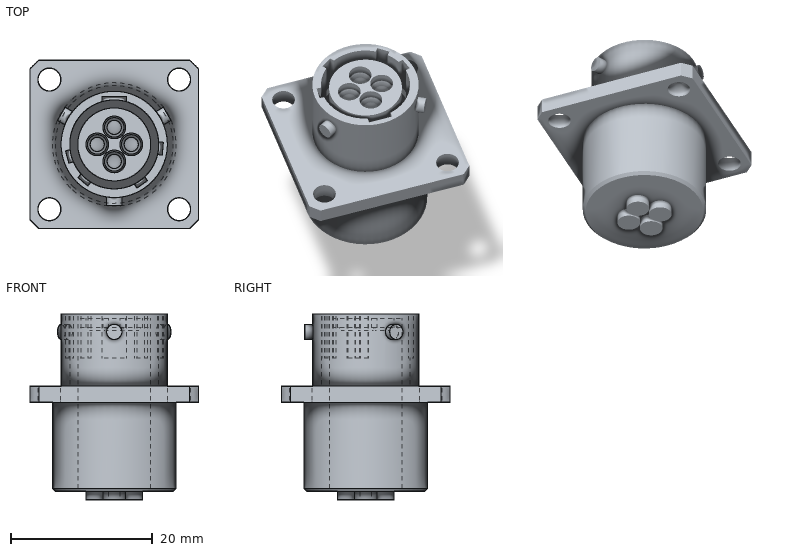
import cadquery as cq

BARREL_HEIGHT = 10.2
FLANGE_THICKNESS = 2.3
REAR_LENGTH = 12.55
TERMINAL_LENGTH = 1.22

REAR_FACE_Z = -(FLANGE_THICKNESS + REAR_LENGTH)

BARREL_RADIUS = 7.5
BARREL_BORE_RADIUS = 6.28
REAR_RADIUS = 8.72
REAR_EDGE_CHAMFER = 0.4

FLANGE_WIDTH = 23.8
FLANGE_CORNER_CHAMFER = 1.25
MOUNTING_HOLE_DIAMETER = 3.2
MOUNTING_HOLE_PITCH = 18.3

PEG_DIAMETER = 2.15
PEG_TIP_RADIUS = 8.63
PEG_DROP = 2.55
PEG_ANGLES = (30, 150, 270)

MAIN_KEYWAY_ANGLE = 90
MAIN_KEYWAY_WIDTH = 3.4
MAIN_KEYWAY_RADIUS = 6.77
MINOR_KEYWAY_OFFSETS = (105, 140, 215, 265)
MINOR_KEYWAY_WIDTH = 1.8
MINOR_KEYWAY_RADIUS = 6.88
KEYWAY_LENGTH = 6.2

INSERT_RADIUS = 5.15
INSERT_RECESS = 0.65
INSERT_FACE_Z = BARREL_HEIGHT - INSERT_RECESS

CONTACT_COUNT = 4
CONTACT_CIRCLE_RADIUS = 2.4
CONTACT_DIAMETER = 3.2
CONTACT_DEPTH = 1.3
SOCKET_MOUTH_DIAMETER = 2.75
SOCKET_FLOOR_DIAMETER = 2.0
SOCKET_DEPTH = 0.4

PARTING_Z = INSERT_FACE_Z - CONTACT_DEPTH


def cylinder(radius, bottom_z, top_z):
    """Solid cylinder on the Z axis between two heights."""
    return cq.Workplane("XY").workplane(offset=bottom_z).circle(radius).extrude(top_z - bottom_z)


def contact_positions(workplane):
    """Put one point at each contact, on the X and Y axes."""
    return workplane.polarArray(CONTACT_CIRCLE_RADIUS, 0, 360, CONTACT_COUNT)


def make_flange():
    """Square plate with cut corners and four mounting holes."""
    return (
        cq.Workplane("XY")
        .rect(FLANGE_WIDTH, FLANGE_WIDTH)
        .extrude(-FLANGE_THICKNESS)
        .edges("|Z")
        .chamfer(FLANGE_CORNER_CHAMFER)
        .faces(">Z")
        .workplane()
        .rect(MOUNTING_HOLE_PITCH, MOUNTING_HOLE_PITCH, forConstruction=True)
        .vertices()
        .hole(MOUNTING_HOLE_DIAMETER)
    )


def make_peg(angle):
    """Radial bayonet peg, rooted inside the barrel wall."""
    root_radius = (BARREL_RADIUS + BARREL_BORE_RADIUS) / 2
    peg = (
        cq.Workplane("YZ")
        .workplane(offset=root_radius)
        .center(0, BARREL_HEIGHT - PEG_DROP)
        .circle(PEG_DIAMETER / 2)
        .extrude(PEG_TIP_RADIUS - root_radius)
    )
    return peg.rotate((0, 0, 0), (0, 0, 1), angle)


def make_keyway(angle, width, floor_radius):
    """Cutter for a flat-bottomed groove that runs down the bore from the barrel front face."""
    radial_depth = floor_radius - INSERT_RADIUS
    keyway = (
        cq.Workplane("XY")
        .box(radial_depth, width, KEYWAY_LENGTH, centered=(False, True, False))
        .translate((INSERT_RADIUS, 0, BARREL_HEIGHT - KEYWAY_LENGTH))
    )
    return keyway.rotate((0, 0, 0), (0, 0, 1), angle)


def make_shell():
    """Flange, keyed barrel with bayonet pegs, and rear sleeve, bored right through."""
    rear = cylinder(REAR_RADIUS, REAR_FACE_Z, -FLANGE_THICKNESS)
    rear = rear.faces("<Z").edges().chamfer(REAR_EDGE_CHAMFER)
    shell = make_flange().union(rear).union(cylinder(BARREL_RADIUS, 0, BARREL_HEIGHT))
    for angle in PEG_ANGLES:
        shell = shell.union(make_peg(angle))
    shell = shell.cut(cylinder(BARREL_BORE_RADIUS, 0, BARREL_HEIGHT))
    shell = shell.cut(make_keyway(MAIN_KEYWAY_ANGLE, MAIN_KEYWAY_WIDTH, MAIN_KEYWAY_RADIUS))
    for offset in MINOR_KEYWAY_OFFSETS:
        shell = shell.cut(make_keyway(MAIN_KEYWAY_ANGLE + offset, MINOR_KEYWAY_WIDTH, MINOR_KEYWAY_RADIUS))
    return shell.cut(cylinder(INSERT_RADIUS, REAR_FACE_Z, 0))


def make_front_insert():
    """Disc whose through openings lead to the contact sockets."""
    insert = cylinder(INSERT_RADIUS, PARTING_Z, INSERT_FACE_Z)
    openings = contact_positions(cq.Workplane("XY").workplane(offset=PARTING_Z))
    return insert.cut(openings.circle(CONTACT_DIAMETER / 2).extrude(CONTACT_DEPTH))


def make_rear_insert():
    """Core that fills the shell, with conical sockets in front and round terminals behind."""
    insert = cylinder(INSERT_RADIUS, REAR_FACE_Z, PARTING_Z)
    terminals = contact_positions(cq.Workplane("XY").workplane(offset=REAR_FACE_Z))
    insert = insert.union(terminals.circle(CONTACT_DIAMETER / 2).extrude(-TERMINAL_LENGTH))
    socket = cq.Solid.makeCone(
        SOCKET_FLOOR_DIAMETER / 2,
        SOCKET_MOUTH_DIAMETER / 2,
        SOCKET_DEPTH,
        pnt=cq.Vector(0, 0, PARTING_Z - SOCKET_DEPTH),
    )
    sockets = contact_positions(cq.Workplane("XY")).eachpoint(socket, combine=False)
    return insert.cut(sockets)


shell = make_shell()
front_insert = make_front_insert()
rear_insert = make_rear_insert()

result = cq.Compound.makeCompound([shell.val(), front_insert.val(), rear_insert.val()])